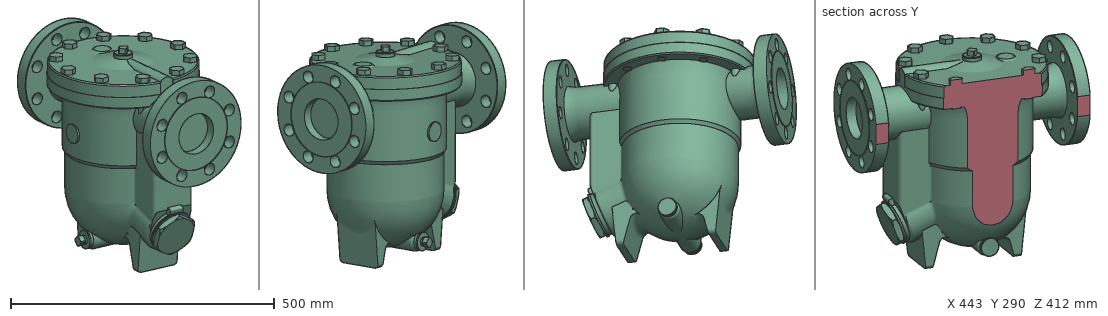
import cadquery as cq
import math


OVERSIZE = 1000.0

FACE_TO_FACE = 443.0
PIPE_MID_X = 20.0
PIPE_R = 50.0
HUB_R = 53.5
HUB_LENGTH = 21.0
FLANGE_R = 105.0
FLANGE_THICKNESS = 26.8
FLANGE_EDGE_CHAMFER = 1.0
RAISED_FACE_R = 144.5 / 2
RAISED_FACE_HEIGHT = 1.5
BORE_R = 40.0
BORE_DEPTH = 20.0
FLANGE_HOLE_COUNT = 8
FLANGE_HOLE_D = 23.5
FLANGE_HOLE_CIRCLE_R = 84.0
HOLE_OVERRUN = 1.0

RIM_R = 145.0
RIM_TOP_Z = 54.5
RIM_BOTTOM_Z = 31.0
RIM_CHAMFER = 2.5
NECK_R = 118.5
NECK_BOTTOM_Z = 5.2
UPPER_R = 115.7
UPPER_BOTTOM_Z = -92.7
LOWER_R = 111.2
LOWER_TOP_Z = -100.0
BOWL_CENTER_Z = -172.7

LID_R = 144.0
LID_TOP_Z = 79.3
LID_CHAMFER = 2.5
CONE_FOOT_R = 60.2
CONE_BASE_R = 54.2
CONE_BASE_HEIGHT = 0.9
CONE_TOP_R = 19.5
CONE_HEIGHT = 7.4
RIB_HALF_WIDTH = 14.4
RIB_HEIGHT = 7.7
BOSS_X = -69.4
BOSS_R = 18.0
BOSS_FOOT_R = 22.8
BOSS_EDGE_ROUND = 1.2
BOSS_HEIGHT = 3.5
ROOT_ARC_FRACTION = 0.32

BOLT_COUNT = 10
BOLT_CIRCLE_R = 127.0
BOLT_ACROSS_FLATS = 24.5
BOLT_HEAD_HEIGHT = 9.7
BOLT_END_R = 8.5
BOLT_END_LENGTH = 1.5
PIPE_BOLT_BOSS_BOTTOM_Z = 0.0

PLUG_COLLAR_R = 18.0
PLUG_SQUARE_ACROSS_FLATS = 16.0
PLUG_SQUARE_CORNER_D = 20.0
PLUG_CHAMFER = 1.5
VENT_COLLAR_TOP_Z = 95.0
VENT_TOP_Z = FLANGE_R

CHAMBER_HALF_WIDTH = 44.0
CHAMBER_END_X = 167.0
CHAMBER_CORNER_R = 8.0
CHAMBER_ROOT_R = 4.0

PORT_SLOPE = 20.0
PORT_END_X = 174.0
PORT_END_Z = -224.5
PORT_R = 50.0
PORT_EDGE_R = 5.0
PORT_BODY_ROOT_R = 8.0
PORT_CHAMBER_ROOT_R = 7.0
PORT_LENGTH = 100.0
CAP_ACROSS_FLATS = 80.0
CAP_THICKNESS = 13.0
CAP_BEVEL_R = 41.0
CAP_BEVEL_DEPTH = 3.0
PORT_COLLAR_R = 42.5
PORT_COLLAR_LENGTH = 12.0
PORT_FACE_DEPTH = CAP_THICKNESS + PORT_COLLAR_LENGTH
PORT_GASKET_R = 44.5
PORT_GASKET_THICKNESS = 4.0
PORT_LUG_WIDTH = 30.0
PORT_LUG_TOP = 53.8
PORT_LUG_THICKNESS = 10.0
PORT_LUG_ROUND = 4.0

LEG_MID_X = 15.3
LEG_WIDTH = 90.5
LEG_CORNER_R = 8.0
FOOT_Z = -307.0
LEG_TOP_Z = -212.0
FOOT_OUTER = 97.8
FOOT_INNER = 84.0
LEG_OUTER_SLOPE = 5.9
LEG_INNER_SLOPE = 15.2
LEG_OUTER_ROOT_R = 15.0
LEG_INNER_ROOT_R = 12.0
LEG_SIDE_ROOT_R = 3.0

DRAIN_Z = -263.0
DRAIN_R = 20.7
DRAIN_END_Y = 74.3
DRAIN_TIP_Y = 80.5
DRAIN_TIP_R = 17.5
DRAIN_COLLAR_BASE_Y = 86.5
DRAIN_COLLAR_Y = 90.0
DRAIN_NECK_R = 9.0
DRAIN_NECK_Y = 94.0
DRAIN_SQUARE_Y = 105.0

PAD_R = 19.0
PAD_Z = -45.0
PAD_Y = -118.3


def ring_angles(count, first=0.0):
    return [first + i * 360.0 / count for i in range(count)]


def polar(radius, angle):
    return radius * math.cos(math.radians(angle)), radius * math.sin(math.radians(angle))


def hexagon_prism(plane, across_flats, height):
    return cq.Workplane(plane).polygon(6, across_flats / math.cos(math.radians(30))).extrude(height)


def square_head(plane, height):
    """Square drive turned 45 degrees, with its corners rounded off."""
    square = cq.Workplane(plane).rect(PLUG_SQUARE_ACROSS_FLATS, PLUG_SQUARE_ACROSS_FLATS).extrude(height)
    axis_end = plane.origin + plane.zDir
    square = square.rotate(plane.origin.toTuple(), axis_end.toTuple(), 45)
    return square.intersect(cq.Workplane(plane).circle(PLUG_SQUARE_CORNER_D / 2).extrude(height))


def make_body():
    """Revolved rim, neck, stepped barrel and hemispherical bowl."""
    flare_drop = RIM_BOTTOM_Z - NECK_BOTTOM_Z
    bowl_mid = LOWER_R * math.sqrt(0.5)
    return (
        cq.Workplane("XZ")
        .moveTo(0, RIM_TOP_Z)
        .lineTo(RIM_R, RIM_TOP_Z)
        .lineTo(RIM_R, RIM_BOTTOM_Z + RIM_CHAMFER)
        .lineTo(RIM_R - RIM_CHAMFER, RIM_BOTTOM_Z)
        .lineTo(NECK_R, RIM_BOTTOM_Z)
        .threePointArc(
            (UPPER_R + (NECK_R - UPPER_R) / 4, NECK_BOTTOM_Z + flare_drop / 2),
            (UPPER_R, NECK_BOTTOM_Z),
        )
        .lineTo(UPPER_R, UPPER_BOTTOM_Z)
        .lineTo(LOWER_R, LOWER_TOP_Z)
        .lineTo(LOWER_R, BOWL_CENTER_Z)
        .threePointArc((bowl_mid, BOWL_CENTER_Z - bowl_mid), (0, BOWL_CENTER_Z - LOWER_R))
        .close()
        .revolve(360, (0, 0), (0, 1))
    )


def make_leg(side):
    """One tapered leg; side is -1 or 1, mirrored about LEG_MID_X."""
    leg_height = LEG_TOP_Z - FOOT_Z
    outer_run = leg_height * math.tan(math.radians(LEG_OUTER_SLOPE))
    inner_run = leg_height * math.tan(math.radians(LEG_INNER_SLOPE))
    outline = [
        (LEG_MID_X + side * FOOT_OUTER, FOOT_Z),
        (LEG_MID_X + side * (FOOT_OUTER + outer_run), LEG_TOP_Z),
        (LEG_MID_X + side * (FOOT_INNER - inner_run), LEG_TOP_Z),
        (LEG_MID_X + side * FOOT_INNER, FOOT_Z),
    ]
    leg = cq.Workplane("XZ").polyline(outline).close().extrude(LEG_WIDTH / 2, both=True)
    return leg.faces("<Z").edges("|X").fillet(LEG_CORNER_R)


def make_lid():
    """Lid disc with its centre cone, round boss, rib and vent plug."""
    lid = (
        cq.Workplane("XY", origin=(0, 0, RIM_TOP_Z))
        .circle(LID_R)
        .extrude(LID_TOP_Z - RIM_TOP_Z)
        .faces(">Z")
        .edges()
        .chamfer(LID_CHAMFER)
    )
    cone = (
        cq.Workplane("XZ", origin=(0, 0, LID_TOP_Z))
        .moveTo(0, 0)
        .lineTo(CONE_FOOT_R, 0)
        .threePointArc(
            ((CONE_FOOT_R + CONE_BASE_R) / 2, CONE_BASE_HEIGHT / 4), (CONE_BASE_R, CONE_BASE_HEIGHT)
        )
        .lineTo(CONE_TOP_R, CONE_HEIGHT)
        .lineTo(0, CONE_HEIGHT)
        .close()
        .revolve(360, (0, 0), (0, 1))
    )
    root_width = BOSS_FOOT_R - BOSS_R
    root_height = BOSS_HEIGHT - BOSS_EDGE_ROUND
    boss = (
        cq.Workplane("XZ", origin=(BOSS_X, 0, LID_TOP_Z))
        .moveTo(0, 0)
        .lineTo(BOSS_FOOT_R, 0)
        .threePointArc(
            (BOSS_R + ROOT_ARC_FRACTION * root_width, ROOT_ARC_FRACTION * root_height),
            (BOSS_R, root_height),
        )
        .lineTo(BOSS_R - BOSS_EDGE_ROUND, BOSS_HEIGHT)
        .lineTo(0, BOSS_HEIGHT)
        .close()
        .revolve(360, (0, 0), (0, 1))
    )
    return lid.union(cone).union(boss).union(make_lid_rib()).union(make_vent_plug())


def make_lid_rib():
    """Round-topped rib from the lid centre out to the rim, ending flush with the body rim."""
    rib = (
        cq.Workplane("YZ")
        .moveTo(-RIB_HALF_WIDTH, RIM_TOP_Z)
        .lineTo(-RIB_HALF_WIDTH, LID_TOP_Z)
        .threePointArc((0, LID_TOP_Z + RIB_HEIGHT), (RIB_HALF_WIDTH, LID_TOP_Z))
        .lineTo(RIB_HALF_WIDTH, RIM_TOP_Z)
        .close()
        .extrude(RIM_R)
    )
    return rib.intersect(cq.Workplane("XY").circle(RIM_R).extrude(VENT_TOP_Z))


def make_vent_plug():
    collar = (
        cq.Workplane("XY", origin=(0, 0, LID_TOP_Z))
        .circle(PLUG_COLLAR_R)
        .extrude(VENT_COLLAR_TOP_Z - LID_TOP_Z)
        .faces(">Z")
        .edges()
        .chamfer(PLUG_CHAMFER)
    )
    head_plane = cq.Plane(origin=(0, 0, VENT_COLLAR_TOP_Z), xDir=(1, 0, 0), normal=(0, 0, 1))
    return collar.union(square_head(head_plane, VENT_TOP_Z - VENT_COLLAR_TOP_Z))


def make_bolts():
    """Hexagon heads on the lid, and bolt ends below the rim, running into the pipes where they meet."""
    bolts = cq.Workplane("XY")
    for angle in ring_angles(BOLT_COUNT, 90):
        x, y = polar(BOLT_CIRCLE_R, angle)
        tangent = (-math.sin(math.radians(angle)), math.cos(math.radians(angle)), 0)
        head = hexagon_prism(
            cq.Plane(origin=(x, y, LID_TOP_Z), xDir=tangent, normal=(0, 0, 1)),
            BOLT_ACROSS_FLATS,
            BOLT_HEAD_HEIGHT,
        )
        meets_pipe = abs(y) < PIPE_R
        end_z = PIPE_BOLT_BOSS_BOTTOM_Z if meets_pipe else RIM_BOTTOM_Z - BOLT_END_LENGTH
        end = (
            cq.Workplane("XY", origin=(x, y, end_z))
            .circle(BOLT_END_R)
            .extrude(RIM_BOTTOM_Z + RIM_CHAMFER - end_z)
        )
        bolts = bolts.add(head).add(end)
    return bolts.combine()


def make_pipe_end(side):
    """One pipe from the vessel axis out to its bolted flange; side is -1 or 1 along X."""
    face = FACE_TO_FACE / 2 + side * PIPE_MID_X
    flange_front = face - RAISED_FACE_HEIGHT
    flange_back = flange_front - FLANGE_THICKNESS
    hub_start = flange_back - HUB_LENGTH
    profile = (
        cq.Workplane("XZ")
        .moveTo(0, 0)
        .lineTo(0, PIPE_R)
        .lineTo(hub_start, PIPE_R)
        .threePointArc(
            (hub_start + HUB_LENGTH / 2, PIPE_R + (HUB_R - PIPE_R) / 4), (flange_back, HUB_R)
        )
        .lineTo(flange_back, FLANGE_R - FLANGE_EDGE_CHAMFER)
        .lineTo(flange_back + FLANGE_EDGE_CHAMFER, FLANGE_R)
        .lineTo(flange_front, FLANGE_R)
        .lineTo(flange_front, RAISED_FACE_R)
        .lineTo(face, RAISED_FACE_R)
        .lineTo(face, BORE_R)
        .lineTo(face - BORE_DEPTH, BORE_R)
        .lineTo(face - BORE_DEPTH, 0)
        .close()
    )
    pipe = profile.revolve(360, (0, 0), (1, 0))
    first_angle = 180.0 / FLANGE_HOLE_COUNT
    hole_angles = ring_angles(FLANGE_HOLE_COUNT, first_angle)
    holes = (
        cq.Workplane("YZ", origin=(flange_back - HOLE_OVERRUN, 0, 0))
        .pushPoints([polar(FLANGE_HOLE_CIRCLE_R, angle) for angle in hole_angles])
        .circle(FLANGE_HOLE_D / 2)
        .extrude(FLANGE_THICKNESS + RAISED_FACE_HEIGHT + 2 * HOLE_OVERRUN)
    )
    pipe = pipe.cut(holes)
    return pipe if side > 0 else pipe.mirror("YZ")


def port_plane(depth):
    """Plane square to the port axis, a given depth behind the outer face of the cap."""
    slope = math.radians(PORT_SLOPE)
    axis = cq.Vector(math.cos(slope), 0, -math.sin(slope))
    return cq.Plane(
        origin=cq.Vector(PORT_END_X, 0, PORT_END_Z) - axis * depth, xDir=(0, 1, 0), normal=axis
    )


def make_chamber():
    """Side chamber running from the outlet pipe down to the port, cut off at the port face."""
    chamber = (
        cq.Workplane("XY", origin=(0, -CHAMBER_HALF_WIDTH, PORT_END_Z))
        .rect(CHAMBER_END_X, 2 * CHAMBER_HALF_WIDTH, centered=False)
        .extrude(-PORT_END_Z)
        .edges("|Z and >X")
        .fillet(CHAMBER_CORNER_R)
    )
    behind_port_face = cq.Workplane(port_plane(PORT_FACE_DEPTH)).rect(OVERSIZE, OVERSIZE).extrude(-OVERSIZE)
    return chamber.intersect(behind_port_face)


def make_port():
    """Sloping barrel reaching into the bowl, rounded at its outer end."""
    face = port_plane(PORT_FACE_DEPTH)
    barrel = cq.Workplane(face).circle(PORT_R).extrude(-PORT_LENGTH)
    outer_end = barrel.faces(cq.selectors.NearestToPointSelector(face.origin.toTuple()))
    return outer_end.edges().fillet(PORT_EDGE_R)


def make_port_cap():
    """Collar, gasket, lug and bevelled hexagon cap closing the port."""
    face = port_plane(PORT_FACE_DEPTH)
    seat = port_plane(CAP_THICKNESS)
    collar = cq.Workplane(face).circle(PORT_COLLAR_R).extrude(PORT_COLLAR_LENGTH)
    gasket = cq.Workplane(seat).circle(PORT_GASKET_R).extrude(-PORT_GASKET_THICKNESS)

    hexagon_plane = cq.Plane(origin=seat.origin, xDir=seat.yDir, normal=seat.zDir)
    hexagon = hexagon_prism(hexagon_plane, CAP_ACROSS_FLATS, CAP_THICKNESS)
    corner_r = CAP_ACROSS_FLATS / 2 / math.cos(math.radians(30))
    turned = (
        cq.Workplane(seat)
        .circle(corner_r)
        .extrude(CAP_THICKNESS)
        .edges()
        .chamfer(CAP_BEVEL_DEPTH, corner_r - CAP_BEVEL_R)
    )
    cap = hexagon.intersect(turned)

    lug = (
        cq.Workplane(face)
        .center(0, PORT_LUG_TOP / 2)
        .rect(PORT_LUG_WIDTH, PORT_LUG_TOP)
        .extrude(PORT_LUG_THICKNESS)
    )
    lug_edge = port_plane(PORT_FACE_DEPTH - PORT_LUG_THICKNESS).toWorldCoords((0, PORT_LUG_TOP, 0))
    lug = lug.edges(cq.selectors.NearestToPointSelector(lug_edge.toTuple())).fillet(PORT_LUG_ROUND)
    return collar.union(gasket).union(cap).union(lug)


def make_drain():
    """Cross pipe with a collar at each end and a square-headed plug at the front."""
    tip_step = DRAIN_R - DRAIN_TIP_R
    half = (
        cq.Workplane("XY", origin=(0, 0, DRAIN_Z))
        .moveTo(0, 0)
        .lineTo(DRAIN_R, 0)
        .lineTo(DRAIN_R, DRAIN_END_Y)
        .threePointArc(
            (DRAIN_R - tip_step / 4, (DRAIN_END_Y + DRAIN_TIP_Y) / 2), (DRAIN_TIP_R, DRAIN_TIP_Y)
        )
        .lineTo(DRAIN_TIP_R, DRAIN_COLLAR_BASE_Y)
        .lineTo(PLUG_COLLAR_R, DRAIN_COLLAR_BASE_Y)
        .lineTo(PLUG_COLLAR_R, DRAIN_COLLAR_Y)
        .lineTo(0, DRAIN_COLLAR_Y)
        .close()
        .revolve(360, (0, 0), (0, 1))
    )
    pipe = half.union(half.mirror("XZ"))
    neck = cq.Workplane("XZ", origin=(0, 0, DRAIN_Z)).circle(DRAIN_NECK_R).extrude(DRAIN_NECK_Y)
    head_plane = cq.Plane(origin=(0, -DRAIN_NECK_Y, DRAIN_Z), xDir=(1, 0, 0), normal=(0, -1, 0))
    return pipe.union(neck).union(square_head(head_plane, DRAIN_SQUARE_Y - DRAIN_NECK_Y))


def make_pad():
    return cq.Workplane("XZ", origin=(0, 0, PAD_Z)).circle(PAD_R).extrude(-PAD_Y)


def blend(solid, box, radius, kind=None):
    """Fillet the edges whose centres lie between two opposite corners of a box."""
    edges = solid.edges(cq.selectors.BoxSelector(*box))
    if kind:
        edges = edges.edges(kind)
    return edges.fillet(radius)


def blend_left_leg(body):
    outer_root = ((-95, -10, -260), (-80, 10, -215))
    inner_root = ((-70, -10, -300), (-40, 10, -240))
    joined = body.union(make_leg(-1))
    joined = blend(joined, outer_root, LEG_OUTER_ROOT_R)
    return blend(joined, inner_root, LEG_INNER_ROOT_R)


def blend_right_leg(body):
    """Right leg, which runs up into the port; blended at its inner face and at its two sides."""
    inner_root = ((75, -40, -260), (86, 40, -230))
    joined = body.union(make_leg(1))
    inner_blended = blend(joined, inner_root, LEG_INNER_ROOT_R)
    side_blended = joined
    for side in (-1, 1):
        side_y = side * LEG_WIDTH / 2
        side_root = ((75, side_y - 1, -240), (125, side_y + 1, -205))
        side_blended = blend(side_blended, side_root, LEG_SIDE_ROOT_R, "%CIRCLE")
    return inner_blended.union(side_blended)


def blend_chamber(body, chamber):
    """Lower barrel and chamber, blended along the upright corners below the step in the body."""
    upright_root = ((95, -60, -180), (106, 60, LOWER_TOP_Z + 1))
    below_step = (
        cq.Workplane("XY", origin=(0, 0, LOWER_TOP_Z)).rect(OVERSIZE, OVERSIZE).extrude(-OVERSIZE)
    )
    lower = body.union(chamber).intersect(below_step)
    return blend(lower, upright_root, CHAMBER_ROOT_R, "|Z")


def make_casting():
    """Body with legs, chamber and port; each pair is blended on its own, then all are joined."""
    body = make_body()
    chamber = make_chamber()
    port = make_port()
    body_port_root = ((60, -60, -290), (115, 60, -110))
    port_chamber_root = ((100, -60, -200), (154, 60, -170))
    return (
        blend_left_leg(body)
        .union(blend_right_leg(body))
        .union(blend_chamber(body, chamber))
        .union(blend(body.union(port), body_port_root, PORT_BODY_ROOT_R))
        .union(blend(port.union(chamber), port_chamber_root, PORT_CHAMBER_ROOT_R))
    )


result = (
    make_casting()
    .union(make_pad())
    .union(make_drain())
    .union(make_pipe_end(-1))
    .union(make_pipe_end(1))
    .union(make_lid())
    .union(make_bolts())
    .union(make_port_cap())
)